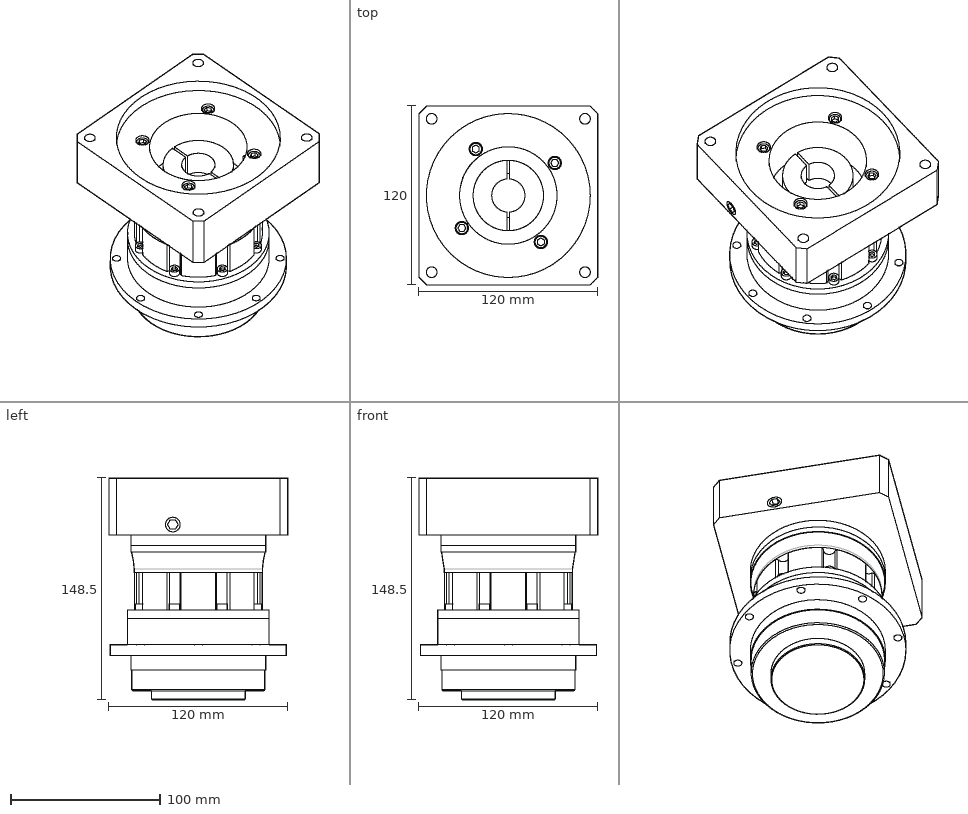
import cadquery as cq
import math

TOP_Z = 148.5
PLATE_BOTTOM_Z = 110.3
INPUT_JOINT_Z = 103.5
CONE_TOP_Z = 98.9
CONE_BOTTOM_Z = 87.6
GROOVE_TOP_Z = 85.4
GEAR_FLANGE_TOP_Z = 60.3
OUTPUT_JOINT_Z = 54.6
FLANGE_TOP_Z = 37.0
FLANGE_BOTTOM_Z = 29.5
PILOT_BOTTOM_Z = 19.9
NOSE_BOTTOM_Z = 6.0
COLLAR_TOP_Z = 123.5

PLATE_SIDE = 120.0
PLATE_CORNER_CHAMFER = 5.2
BODY_RADIUS = 45.3
MOTOR_PILOT_RADIUS = 55.0
MOTOR_PILOT_DEPTH = 8.6
INPUT_BORE_RADIUS = 32.7
CORNER_HOLE_PITCH = 102.8
CORNER_HOLE_RADIUS = 3.5
CORNER_HOLE_DEPTH = 20.0
DRILL_POINT_ANGLE = 118.0

INPUT_SCREW_COUNT = 4
INPUT_SCREW_CIRCLE_RADIUS = 38.0
INPUT_SCREW_FIRST_ANGLE = 35.0
COUNTERBORE_RADIUS = 4.5
COUNTERBORE_DEPTH = 7.4
INPUT_HEAD_RADIUS = 3.9
INPUT_HEAD_HEIGHT = 6.0
INPUT_HEX_WIDTH = 4.6
INPUT_HEX_DEPTH = 3.0

PLUG_Y = 17.1
PLUG_Z = 117.5
PLUG_RADIUS = 4.9
PLUG_LENGTH = 11.9
PLUG_HEX_WIDTH = 6.2
PLUG_HEX_DEPTH = 4.5

COLLAR_RADIUS = 23.6
COLLAR_BORE_RADIUS = 11.1
COLLAR_BORE_DEPTH = 17.8
SLOT_WIDTH = 1.8
SLOT_STEP_RADIUS = 14.8
OUTER_SLOT_DEPTH = 14.8

CONE_TOP_RADIUS = 44.8
NECK_RADIUS = 43.0
BARREL_RADIUS = 42.9
MIDDLE_RADIUS = 47.5
GROOVE_COUNT = 8
GROOVE_CIRCLE_RADIUS = 42.0
GROOVE_RADIUS = 3.9
GROOVE_MOUTH_HALF_WIDTH = 5.2
GEAR_HEAD_RADIUS = 3.4
GEAR_HEAD_HEIGHT = 4.0
GEAR_HEX_WIDTH = 3.5
GEAR_HEX_DEPTH = 2.1

FLANGE_RADIUS = 59.1
FLANGE_HOLE_COUNT = 8
FLANGE_HOLE_CIRCLE_RADIUS = 54.8
FLANGE_HOLE_RADIUS = 2.7
NOSE_RADIUS = 44.7
NOSE_CHAMFER = 0.9
OUTPUT_RADIUS = 31.5
OUTPUT_CHAMFER = 0.6


def cylinder(radius, bottom_z, top_z):
    """Upright cylinder on the main axis."""
    return cq.Workplane("XY").workplane(offset=bottom_z).circle(radius).extrude(top_z - bottom_z)


def hexagon_corner_diameter(width):
    """Diameter across the corners of a hexagon, from its width across flats."""
    return width / math.cos(math.pi / 6)


def socket_head(radius, height, hex_width, hex_depth):
    """Screw head standing on the XY plane, with a hexagon socket in its top."""
    return (
        cq.Workplane("XY").circle(radius).extrude(height)
        .faces(">Z").workplane()
        .polygon(6, hexagon_corner_diameter(hex_width)).cutBlind(-hex_depth)
    )


def place_around(shape, count, circle_radius, first_angle, z):
    """Copies of a shape at equal angles on a circle about the main axis."""
    copies = []
    for index in range(count):
        angle = first_angle + index * 360.0 / count
        copies.append(shape.translate((circle_radius, 0, z)).rotate((0, 0, 0), (0, 0, 1), angle))
    return copies


def plug_rod(length):
    """Rod along +X, starting at the -X side of the plate, on the plug axis."""
    return (
        cq.Workplane("YZ", origin=(-PLATE_SIDE / 2, PLUG_Y, PLUG_Z))
        .circle(PLUG_RADIUS).extrude(length)
    )


def corner_hole():
    """Blind drilled hole with a conical end, its mouth at the origin."""
    point_depth = CORNER_HOLE_RADIUS / math.tan(math.radians(DRILL_POINT_ANGLE / 2))
    return (
        cq.Workplane("XZ")
        .moveTo(0, 0)
        .lineTo(CORNER_HOLE_RADIUS, 0)
        .lineTo(CORNER_HOLE_RADIUS, -CORNER_HOLE_DEPTH)
        .lineTo(0, -CORNER_HOLE_DEPTH - point_depth)
        .close()
        .revolve(360, (0, 0, 0), (0, 1, 0))
    )


def make_input_flange():
    """Square motor plate with its round neck and sunk screws."""
    plate = (
        cq.Workplane("XY").workplane(offset=PLATE_BOTTOM_Z)
        .rect(PLATE_SIDE, PLATE_SIDE).extrude(TOP_Z - PLATE_BOTTOM_Z)
        .edges("|Z").chamfer(PLATE_CORNER_CHAMFER)
    )
    pocket_floor_z = TOP_Z - MOTOR_PILOT_DEPTH
    flange = plate.union(cylinder(BODY_RADIUS, INPUT_JOINT_Z, PLATE_BOTTOM_Z))
    flange = flange.cut(cylinder(MOTOR_PILOT_RADIUS, pocket_floor_z, TOP_Z))
    flange = flange.cut(cylinder(INPUT_BORE_RADIUS, INPUT_JOINT_Z, TOP_Z))

    drill = corner_hole()
    for x_side in (-1, 1):
        for y_side in (-1, 1):
            x = x_side * CORNER_HOLE_PITCH / 2
            y = y_side * CORNER_HOLE_PITCH / 2
            flange = flange.cut(drill.translate((x, y, TOP_Z)))

    counterbore_floor_z = pocket_floor_z - COUNTERBORE_DEPTH
    counterbore = cq.Workplane("XY").circle(COUNTERBORE_RADIUS).extrude(COUNTERBORE_DEPTH)
    head = socket_head(INPUT_HEAD_RADIUS, INPUT_HEAD_HEIGHT, INPUT_HEX_WIDTH, INPUT_HEX_DEPTH)
    head = head.rotate((0, 0, 0), (0, 0, 1), -INPUT_SCREW_FIRST_ANGLE)
    screw_places = (
        INPUT_SCREW_COUNT, INPUT_SCREW_CIRCLE_RADIUS, INPUT_SCREW_FIRST_ANGLE, counterbore_floor_z
    )
    for hole in place_around(counterbore, *screw_places):
        flange = flange.cut(hole)
    for screw_head in place_around(head, *screw_places):
        flange = flange.union(screw_head)

    return flange.cut(plug_rod(PLATE_SIDE / 2 - COLLAR_RADIUS))


def make_plug():
    """Round plug, flush with the -X side, with a hexagon socket."""
    socket = (
        cq.Workplane("YZ", origin=(-PLATE_SIDE / 2, PLUG_Y, PLUG_Z))
        .polygon(6, hexagon_corner_diameter(PLUG_HEX_WIDTH)).extrude(PLUG_HEX_DEPTH)
    )
    return plug_rod(PLUG_LENGTH).cut(socket)


def make_clamp_collar():
    """Collar standing on the gear housing, slotted on both sides of its bore."""
    bore_floor_z = COLLAR_TOP_Z - COLLAR_BORE_DEPTH
    slot_blade = (
        cq.Workplane("XY").workplane(offset=COLLAR_TOP_Z)
        .rect(SLOT_WIDTH, 2 * COLLAR_RADIUS).extrude(-OUTER_SLOT_DEPTH)
    )
    inner_blade = (
        cq.Workplane("XY").workplane(offset=COLLAR_TOP_Z)
        .rect(SLOT_WIDTH, 2 * SLOT_STEP_RADIUS).extrude(-COLLAR_BORE_DEPTH)
    )
    return (
        cylinder(COLLAR_RADIUS, INPUT_JOINT_Z, COLLAR_TOP_Z)
        .cut(cylinder(COLLAR_BORE_RADIUS, bore_floor_z, COLLAR_TOP_Z))
        .cut(slot_blade)
        .cut(inner_blade)
    )


def screw_groove():
    """Upright groove cutter: a round bottom with a mouth that flares at 45 degrees."""
    length = GROOVE_TOP_Z - GEAR_FLANGE_TOP_Z
    flare = GROOVE_MOUTH_HALF_WIDTH - GROOVE_RADIUS
    mouth_edge_radius = math.sqrt(BARREL_RADIUS ** 2 - GROOVE_MOUTH_HALF_WIDTH ** 2)
    edge_x = mouth_edge_radius - GROOVE_CIRCLE_RADIUS
    outside_x = GROOVE_RADIUS
    return (
        cq.Workplane("XY")
        .moveTo(edge_x - flare, GROOVE_RADIUS)
        .lineTo(edge_x, GROOVE_MOUTH_HALF_WIDTH)
        .lineTo(outside_x, GROOVE_MOUTH_HALF_WIDTH)
        .lineTo(outside_x, -GROOVE_MOUTH_HALF_WIDTH)
        .lineTo(edge_x, -GROOVE_MOUTH_HALF_WIDTH)
        .lineTo(edge_x - flare, -GROOVE_RADIUS)
        .threePointArc((edge_x - flare - GROOVE_RADIUS, 0), (edge_x - flare, GROOVE_RADIUS))
        .close()
        .extrude(length)
    )


def make_gear_housing():
    """Barrel with a conical top, screw grooves and screw heads on its lower flange."""
    housing = (
        cq.Workplane("XZ")
        .moveTo(0, OUTPUT_JOINT_Z)
        .lineTo(MIDDLE_RADIUS, OUTPUT_JOINT_Z)
        .lineTo(MIDDLE_RADIUS, GEAR_FLANGE_TOP_Z)
        .lineTo(BARREL_RADIUS, GEAR_FLANGE_TOP_Z)
        .lineTo(BARREL_RADIUS, GROOVE_TOP_Z)
        .lineTo(NECK_RADIUS, GROOVE_TOP_Z)
        .lineTo(NECK_RADIUS, CONE_BOTTOM_Z)
        .lineTo(CONE_TOP_RADIUS, CONE_TOP_Z)
        .lineTo(BODY_RADIUS, CONE_TOP_Z)
        .lineTo(BODY_RADIUS, INPUT_JOINT_Z)
        .lineTo(0, INPUT_JOINT_Z)
        .close()
        .revolve(360, (0, 0, 0), (0, 1, 0))
    )
    head = socket_head(GEAR_HEAD_RADIUS, GEAR_HEAD_HEIGHT, GEAR_HEX_WIDTH, GEAR_HEX_DEPTH)
    half_pitch = 180.0 / GROOVE_COUNT
    screw_places = (GROOVE_COUNT, GROOVE_CIRCLE_RADIUS, half_pitch, GEAR_FLANGE_TOP_Z)
    for groove in place_around(screw_groove(), *screw_places):
        housing = housing.cut(groove)
    for screw_head in place_around(head, *screw_places):
        housing = housing.union(screw_head)
    return housing


def make_output_housing():
    """Lower housing with the mounting flange, its pilot and the output end."""
    housing = cylinder(MIDDLE_RADIUS, FLANGE_TOP_Z, OUTPUT_JOINT_Z)
    housing = housing.union(cylinder(FLANGE_RADIUS, FLANGE_BOTTOM_Z, FLANGE_TOP_Z))
    housing = housing.union(cylinder(BODY_RADIUS, PILOT_BOTTOM_Z, FLANGE_BOTTOM_Z))
    nose = cylinder(NOSE_RADIUS, NOSE_BOTTOM_Z, PILOT_BOTTOM_Z).faces("<Z").chamfer(NOSE_CHAMFER)
    output_end = cylinder(OUTPUT_RADIUS, 0, NOSE_BOTTOM_Z).faces("<Z").chamfer(OUTPUT_CHAMFER)
    housing = housing.union(nose).union(output_end)

    flange_hole = (
        cq.Workplane("XY").circle(FLANGE_HOLE_RADIUS).extrude(FLANGE_TOP_Z - FLANGE_BOTTOM_Z)
    )
    hole_places = (FLANGE_HOLE_COUNT, FLANGE_HOLE_CIRCLE_RADIUS, 0, FLANGE_BOTTOM_Z)
    for hole in place_around(flange_hole, *hole_places):
        housing = housing.cut(hole)
    return housing


input_flange = make_input_flange()
plug = make_plug()
clamp_collar = make_clamp_collar()
gear_housing = make_gear_housing()
output_housing = make_output_housing()

result = cq.Compound.makeCompound([
    input_flange.val(),
    plug.val(),
    clamp_collar.val(),
    gear_housing.val(),
    output_housing.val(),
])